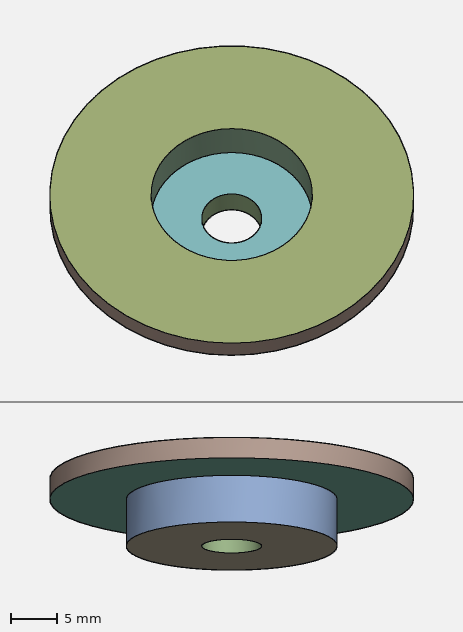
import cadquery as cq

flange_diameter = 39.5
flange_thickness = 2.3

hub_diameter = 22.9
total_height = 7.5
hub_height = total_height - flange_thickness

recess_diameter = 17.5
recess_depth = 4.5
bore_diameter = 6.5


def make_hub():
    """Cylindrical hub standing on the XY plane."""
    return cq.Workplane("XY").circle(hub_diameter / 2).extrude(hub_height)


def make_flange():
    """Wide disc resting on top of the hub."""
    return (
        cq.Workplane("XY")
        .workplane(offset=hub_height)
        .circle(flange_diameter / 2)
        .extrude(flange_thickness)
    )


def cut_stepped_bore(body):
    """Cut the through bore and the wider recess from the top face."""
    return body.faces(">Z").workplane().cboreHole(bore_diameter, recess_diameter, recess_depth)


result = cut_stepped_bore(make_hub().union(make_flange()))